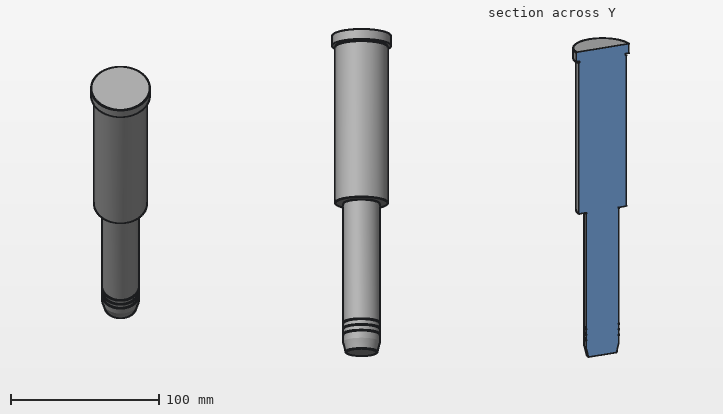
import cadquery as cq

total_length = 220.0

head_diameter = 40.0
head_height = 7.0
head_edge_chamfer = 0.5

body_diameter = 36.0
body_length = 109.3
body_chamfer = 0.5

neck_length = 0.7
neck_depth = 0.7

pin_diameter = 25.0

pin_neck_length = 0.2
pin_neck_depth = 0.5

nose_length = 7.3
nose_hollow = 0.09
tip_diameter = 21.8
tip_chamfer = 0.7

groove_radius = 0.5
groove_count = 3
groove_pitch = 4.0
first_groove_height = 12.5

head_underside = total_length - head_height
body_underside = head_underside - body_length


def disc(diameter, bottom, top):
    """Solid cylinder on the Z axis between two heights."""
    return cq.Workplane("XY").workplane(offset=bottom).circle(diameter / 2).extrude(top - bottom)


def ring(diameter, height, section_radius):
    """Torus around the Z axis whose section circle is centred on the given diameter and height."""
    return (
        cq.Workplane("XZ")
        .center(diameter / 2, height)
        .circle(section_radius)
        .revolve(360, (-diameter / 2, 0), (-diameter / 2, 1))
    )


def make_head():
    """Flat collar with a broken upper edge."""
    head = disc(head_diameter, head_underside, total_length)
    return head.faces(">Z").chamfer(head_edge_chamfer)


def make_body():
    """Thick shank with a chamfered lower edge and a narrower neck under the head."""
    shoulder = head_underside - neck_length
    body = disc(body_diameter, body_underside, shoulder)
    body = body.faces("<Z").chamfer(body_chamfer)
    body = body.faces(">Z").chamfer(neck_depth)
    neck = disc(body_diameter - 2 * neck_depth, shoulder, head_underside)
    return body.union(neck)


def make_pin():
    """Slender pin with a neck under the body, ring grooves and a nose narrowing to a chamfered end."""
    pin_radius = pin_diameter / 2
    tip_radius = tip_diameter / 2
    flank_middle = (
        (pin_radius + tip_radius) / 2 - nose_hollow,
        (nose_length + tip_chamfer) / 2,
    )
    pin = (
        cq.Workplane("XZ")
        .lineTo(tip_radius - tip_chamfer, 0)
        .lineTo(tip_radius, tip_chamfer)
        .threePointArc(flank_middle, (pin_radius, nose_length))
        .lineTo(pin_radius, body_underside - pin_neck_length - pin_neck_depth)
        .lineTo(pin_radius - pin_neck_depth, body_underside - pin_neck_length)
        .lineTo(pin_radius - pin_neck_depth, body_underside)
        .lineTo(0, body_underside)
        .close()
        .revolve(360, (0, 0), (0, 1))
    )
    for index in range(groove_count):
        height = first_groove_height + index * groove_pitch
        pin = pin.cut(ring(pin_diameter, height, groove_radius))
    return pin


result = make_pin().union(make_body()).union(make_head())